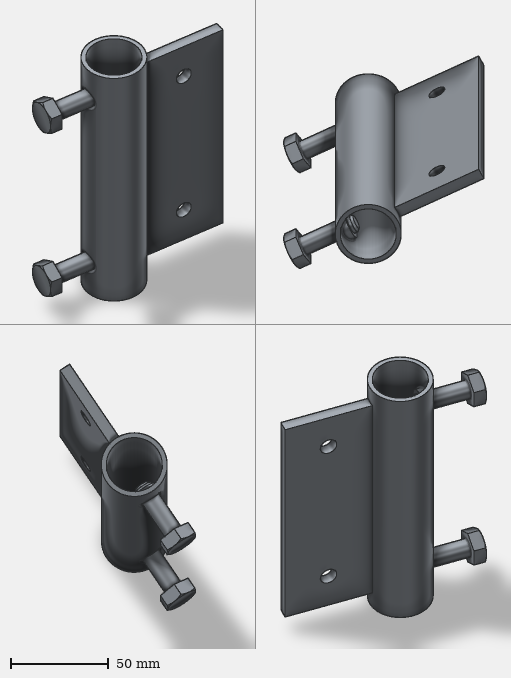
import cadquery as cq
import math

TUBE_LENGTH = 150.0
TUBE_RADIUS = 33.8 / 2
WALL = 2.5
BORE_RADIUS = TUBE_RADIUS - WALL

PLATE_THICKNESS = 6.0
PLATE_HEIGHT = 130.0
PLATE_REACH = 48.0
PLATE_END_Y = TUBE_RADIUS + PLATE_REACH
PLATE_HOLE_RADIUS = 9.0 / 2
PLATE_HOLE_SPACING = 90.0
PLATE_HOLE_Y = TUBE_RADIUS + PLATE_REACH / 2

OVERALL_DEPTH = 109.2
BOLT_SPACING = 110.0
BOLT_RADIUS = 9.9 / 2
BOLT_LENGTH = 30.3
TIP_CHAMFER = 1.4
NECK_FILLET = 0.5
HEAD_ACROSS_FLATS = 17.0
HEAD_HEIGHT = 7.0
HEAD_CHAMFER_ANGLE = 30.0
HEAD_END_Y = PLATE_END_Y - OVERALL_DEPTH
HEAD_UNDERSIDE_Y = HEAD_END_Y + HEAD_HEIGHT

COLLAR_RADIUS = 14.5 / 2
COLLAR_END_Y = -10.0
COLLAR_FILLET = 0.8
HOLE_MOUTH_FILLET = 1.5


def heights(spacing):
    """Z of a pair of features placed evenly about the middle of the tube."""
    return [TUBE_LENGTH / 2 - spacing / 2, TUBE_LENGTH / 2 + spacing / 2]


def cylinder_y(radius, start_y, end_y, z):
    """Cylinder along +Y at X = 0 and height z."""
    start = cq.Vector(0, start_y, z)
    solid = cq.Solid.makeCylinder(radius, end_y - start_y, start, cq.Vector(0, 1, 0))
    return cq.Workplane(obj=solid)


def tube_cylinder(radius):
    return cq.Workplane("XY").circle(radius).extrude(TUBE_LENGTH)


def edges_near_bolt(body, z, surface_radius, hole_radius):
    """Edges where a bolt-axis cylinder meets a tube surface on the -Y side."""
    surface_depth = math.sqrt(surface_radius**2 - hole_radius**2)
    margin = 0.2
    low = (-hole_radius - margin, -surface_radius - margin, z - hole_radius - margin)
    high = (hole_radius + margin, -surface_depth + margin, z + hole_radius + margin)
    return body.edges(cq.selectors.BoxSelector(low, high, boundingbox=True))


def make_tube():
    tube = tube_cylinder(TUBE_RADIUS).cut(tube_cylinder(BORE_RADIUS))
    wall_middle = TUBE_RADIUS - WALL / 2
    for z in heights(BOLT_SPACING):
        collar = cylinder_y(COLLAR_RADIUS, -TUBE_RADIUS, COLLAR_END_Y, z)
        tube = tube.union(collar.intersect(tube_cylinder(wall_middle)))
        tube = edges_near_bolt(tube, z, BORE_RADIUS, COLLAR_RADIUS).fillet(COLLAR_FILLET)
        tube = tube.cut(cylinder_y(BOLT_RADIUS, -2 * TUBE_RADIUS, 0, z))
        tube = edges_near_bolt(tube, z, TUBE_RADIUS, BOLT_RADIUS).fillet(HOLE_MOUTH_FILLET)
    return tube


def make_plate():
    """Plate whose front edge is shaped to the outside of the tube."""
    plate = cq.Workplane("XY").box(
        PLATE_THICKNESS, PLATE_END_Y, PLATE_HEIGHT, centered=(True, False, True)
    )
    plate = plate.translate((0, 0, TUBE_LENGTH / 2)).cut(tube_cylinder(TUBE_RADIUS))
    for z in heights(PLATE_HOLE_SPACING):
        hole = cq.Solid.makeCylinder(
            PLATE_HOLE_RADIUS,
            PLATE_THICKNESS,
            cq.Vector(-PLATE_THICKNESS / 2, PLATE_HOLE_Y, z),
            cq.Vector(1, 0, 0),
        )
        plate = plate.cut(cq.Workplane(obj=hole))
    return plate


def make_bolt(z):
    """Bolt with two head flats facing +/-X and the shank pointing along +Y."""
    flat_radius = HEAD_ACROSS_FLATS / 2
    corner_radius = flat_radius / math.cos(math.pi / 6)
    head_chamfer = (corner_radius - flat_radius) * math.tan(math.radians(HEAD_CHAMFER_ANGLE))
    corners = [
        (corner_radius * math.sin(i * math.pi / 3), corner_radius * math.cos(i * math.pi / 3))
        for i in range(6)
    ]
    hexagon = cq.Workplane("XZ").polyline(corners).close().extrude(-HEAD_HEIGHT)
    blank = (
        cq.Workplane("XY")
        .polyline([
            (0, 0),
            (flat_radius, 0),
            (corner_radius, head_chamfer),
            (corner_radius, HEAD_HEIGHT),
            (0, HEAD_HEIGHT),
        ])
        .close()
        .revolve(360, (0, 0, 0), (0, 1, 0))
    )
    head = hexagon.intersect(blank).translate((0, HEAD_END_Y, z))
    shank = cylinder_y(BOLT_RADIUS, HEAD_UNDERSIDE_Y, HEAD_UNDERSIDE_Y + BOLT_LENGTH, z)
    shank = shank.faces(">Y").chamfer(TIP_CHAMFER)
    bolt = head.union(shank)
    neck_edge = cq.selectors.NearestToPointSelector((0, HEAD_UNDERSIDE_Y, z))
    return bolt.edges("%CIRCLE").edges(neck_edge).fillet(NECK_FILLET)


tube = make_tube()
plate = make_plate()
bolts = [make_bolt(z).val() for z in heights(BOLT_SPACING)]

result = cq.Compound.makeCompound([tube.val(), plate.val(), *bolts])